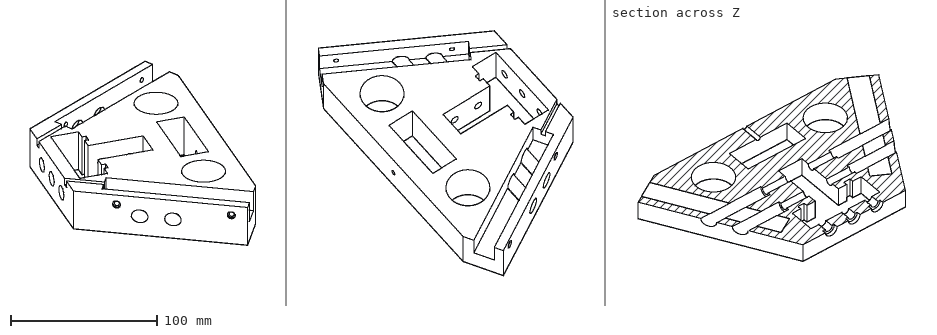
import cadquery as cq
import math

width = 211.2
depth = 120.0
height = 30.0
bottom_half_width = 45.0
flank_angle = math.radians(60)
mid_height = height / 2
corner_y = (width / 2 - bottom_half_width) * math.tan(flank_angle)
top_half_width = width / 2 - (depth - corner_y) * math.tan(flank_angle)
flank_length = corner_y / math.sin(flank_angle)

round_hole_diameter = 30.0
round_hole_x = 49.0
round_hole_y = 93.0
window_width = 50.0
window_bottom = 85.0
window_top = 105.0
stem_width = 20.0
stem_top = 70.0
bar_width = 60.0
bar_bottom = 10.0
bar_top = 30.0
notch_width = 5.0
notch_depth = 3.0
notch_x = 20.0

channel_wall = 6.8
channel_width = 15.2
channel_depth = mid_height
channel_start = 18.5
slot_width = 3.4
slot_depth = 5.0
slot_inset = channel_wall + channel_width / 2

screw_diameter = 6.0
screw_head_diameter = 10.0
side_screw_ys = (40.0, 60.0)
side_screw_seat_x = bar_width / 2
front_screw_x = notch_x
front_head_depth = 3.0
back_hole_diameter = 3.4
clamp_diameter = 3.4
clamp_head_diameter = 5.5
clamp_head_depth = 1.5
clamp_z = 22.5
clamp_positions = (30.0, 109.8)

flank_plane = cq.Plane(
    origin=(-bottom_half_width, 0, 0),
    xDir=(math.sin(flank_angle), math.cos(flank_angle), 0),
    normal=(0, 0, 1),
)


def box_cut(plane, x_min, x_max, y_min, y_max, cut_depth):
    """Rectangular cutter reaching cut_depth down from the top face, in the given frame."""
    return (
        cq.Workplane(plane)
        .workplane(offset=height - cut_depth)
        .center((x_min + x_max) / 2, (y_min + y_max) / 2)
        .rect(x_max - x_min, y_max - y_min)
        .extrude(cut_depth)
    )


def rod(start, direction, length, diameter):
    """Cylindrical cutter from a start point along a direction."""
    return cq.Workplane(cq.Plane(origin=start, normal=direction)).circle(diameter / 2).extrude(length)


def plate():
    """Solid plate with the trapezoid outline."""
    return (
        cq.Workplane("XY")
        .polyline([
            (-bottom_half_width, 0),
            (bottom_half_width, 0),
            (width / 2, corner_y),
            (top_half_width, depth),
            (-top_half_width, depth),
            (-width / 2, corner_y),
        ])
        .close()
        .extrude(height)
    )


def central_openings():
    """Rectangular window and the inverted-T opening below it."""
    window = box_cut("XY", -window_width / 2, window_width / 2, window_bottom, window_top, height)
    stem = box_cut("XY", -stem_width / 2, stem_width / 2, bar_bottom, stem_top, height)
    bar = box_cut("XY", -bar_width / 2, bar_width / 2, bar_bottom, bar_top, height)
    return [window, stem, bar]


def front_screw(x):
    """Counterbored hole from the front face into the T bar."""
    start = (x, 0, mid_height)
    return [
        rod(start, (0, 1, 0), bar_bottom, screw_diameter),
        rod(start, (0, 1, 0), front_head_depth, screw_head_diameter),
    ]


def back_hole():
    """Small hole on the symmetry plane from the window out through the back face."""
    return [rod((0, window_top, mid_height), (0, 1, 0), depth - window_top, back_hole_diameter)]


def left_vertical_cuts():
    """Round through hole, and the notch in the upper edge of the T bar."""
    round_hole = rod((-round_hole_x, round_hole_y, 0), (0, 0, 1), height, round_hole_diameter)
    notch_left = -notch_x - notch_width / 2
    notch = box_cut("XY", notch_left, notch_left + notch_width, bar_bottom, bar_top + notch_depth, height)
    return [round_hole, notch]


def left_channel():
    """Open-ended channel beside the flank, and the slot leading from it to the front face."""
    channel_inner = channel_wall + channel_width
    channel = box_cut(flank_plane, channel_wall, channel_inner, channel_start, flank_length, channel_depth)
    slot_outer = slot_inset - slot_width / 2
    slot = box_cut(flank_plane, slot_outer, slot_outer + slot_width, -channel_start, channel_start, slot_depth)
    return [channel, slot]


def left_side_screws():
    """Horizontal screw holes from the flank into the T stem, with deep head recesses."""
    cuts = []
    for y in side_screw_ys:
        start = (-width / 2, y, mid_height)
        cuts.append(rod(start, (1, 0, 0), width / 2, screw_diameter))
        cuts.append(rod(start, (1, 0, 0), width / 2 - side_screw_seat_x, screw_head_diameter))
    return cuts


def left_clamp_screws():
    """Small counterbored holes square to the flank, through the channel's outer wall."""
    cuts = []
    for position in clamp_positions:
        start = flank_plane.toWorldCoords((0, position, clamp_z))
        cuts.append(rod(start, flank_plane.xDir, channel_wall, clamp_diameter))
        cuts.append(rod(start, flank_plane.xDir, clamp_head_depth, clamp_head_diameter))
    return cuts


result = plate()

for cutter in central_openings() + front_screw(0) + back_hole():
    result = result.cut(cutter)

left_cutters = (
    left_vertical_cuts()
    + left_channel()
    + left_side_screws()
    + front_screw(-front_screw_x)
    + left_clamp_screws()
)
for cutter in left_cutters:
    result = result.cut(cutter).cut(cutter.mirror("YZ"))